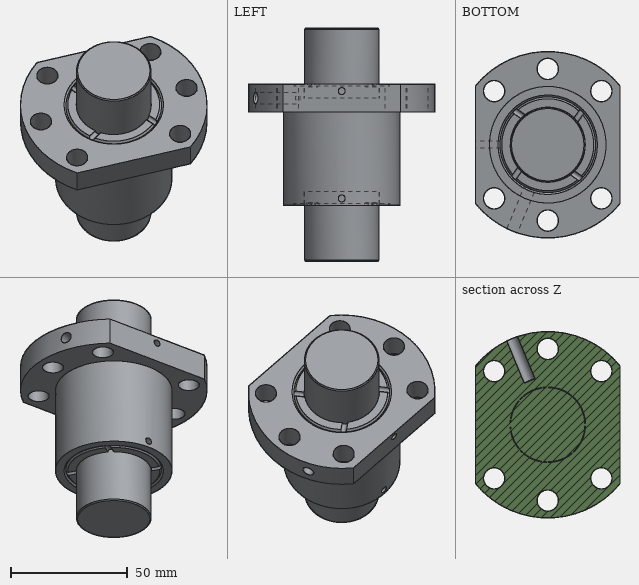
import cadquery as cq
import math

shaft_length = 100
shaft_diameter = 32
shaft_chamfer = 0.5

body_diameter = 50
body_bottom = 24
flange_top = shaft_length - body_bottom
flange_thickness = 12
flange_diameter = 80
flange_width = 62

bolt_hole_diameter = 9
bolt_circle_radius = 32.5
bolt_angles = (45, 90, 135, 225, 270, 315)

wiper_radius = 20.5
wiper_thickness = 6
wiper_chamfer = 0.8
wiper_bore_diameter = 32.2
wiper_slot_count = 4
wiper_slot_width = 2.4
wiper_slot_angle = 35
wiper_slot_offset = 3.8

screw_hole_diameter = 3
screw_hole_angle = 180
oil_hole_diameter = 4.9
oil_hole_angle = 112.5


def cylinder(diameter, bottom, height):
    return cq.Workplane("XY").workplane(offset=bottom).circle(diameter / 2).extrude(height)


def make_shaft():
    return cylinder(shaft_diameter, 0, shaft_length).faces("<Z or >Z").chamfer(shaft_chamfer)


def make_nut():
    flange_bottom = flange_top - flange_thickness
    flats = cq.Workplane("XY").box(flange_width, flange_diameter, 2 * shaft_length)
    flange = cylinder(flange_diameter, flange_bottom, flange_thickness).intersect(flats)
    bolt_holes = (
        cq.Workplane("XY")
        .workplane(offset=flange_bottom)
        .pushPoints([
            (
                bolt_circle_radius * math.cos(math.radians(angle)),
                bolt_circle_radius * math.sin(math.radians(angle)),
            )
            for angle in bolt_angles
        ])
        .circle(bolt_hole_diameter / 2)
        .extrude(flange_thickness)
    )
    body = cylinder(body_diameter, body_bottom, flange_top - body_bottom)
    return body.union(flange.cut(bolt_holes))


def make_wiper_cuts():
    """Cuts at the flange face: V groove around the wiper, bore clearance and skewed slots."""
    groove = (
        cq.Workplane("XZ")
        .moveTo(wiper_radius - wiper_chamfer, flange_top)
        .lineTo(wiper_radius + wiper_chamfer, flange_top)
        .lineTo(wiper_radius, flange_top - wiper_chamfer)
        .close()
        .revolve(360, (0, 0, 0), (0, 1, 0))
    )
    bore = cylinder(wiper_bore_diameter, flange_top - wiper_thickness, wiper_thickness)
    cuts = groove.union(bore)

    wiper_envelope = cylinder(2 * wiper_radius, flange_top - wiper_thickness, wiper_thickness)
    slot = (
        cq.Workplane("YZ")
        .center(wiper_slot_offset, flange_top)
        .circle(wiper_slot_width / 2)
        .extrude(wiper_radius)
        .intersect(wiper_envelope)
    )
    for index in range(wiper_slot_count):
        angle = wiper_slot_angle + index * 360 / wiper_slot_count
        cuts = cuts.union(slot.rotate((0, 0, 0), (0, 0, 1), angle))
    return cuts


def radial_hole(diameter, angle, height):
    """Blind hole from outside the flange in to the cylindrical wiper seat."""
    return (
        cq.Workplane("YZ")
        .center(0, height)
        .circle(diameter / 2)
        .extrude(flange_diameter)
        .cut(cylinder(2 * wiper_radius, 0, shaft_length))
        .rotate((0, 0, 0), (0, 0, 1), angle)
    )


nut = make_nut()

top_wiper_cuts = make_wiper_cuts()
bottom_wiper_cuts = top_wiper_cuts.mirror("XY", (0, 0, shaft_length / 2))
nut = nut.cut(top_wiper_cuts).cut(bottom_wiper_cuts)

for screw_height in (body_bottom + wiper_thickness / 2, flange_top - wiper_thickness / 2):
    nut = nut.cut(radial_hole(screw_hole_diameter, screw_hole_angle, screw_height))

nut = nut.cut(radial_hole(oil_hole_diameter, oil_hole_angle, flange_top - flange_thickness / 2))

result = nut.union(make_shaft())